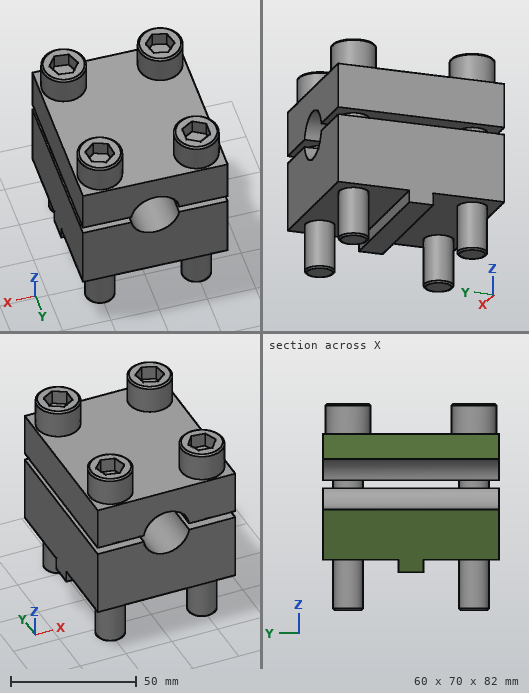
import cadquery as cq
import math

BLOCK_X = 60.0
BLOCK_Y = 70.0
UPPER_HEIGHT = 18.45
GAP = 3.0
LOWER_HEIGHT = 28.5
BORE_DIAMETER = 20.0

KEY_WIDTH = 10.0
KEY_DEPTH = 5.0

BOLT_SPACING_X = 40.0
BOLT_SPACING_Y = 50.0
SHANK_DIAMETER = 12.0
SHANK_PROTRUSION = 20.0
TIP_CHAMFER = 0.7
HEAD_DIAMETER = 18.0
HEAD_HEIGHT = 12.0
HEAD_CHAMFER = 0.7
SOCKET_ACROSS_FLATS = 10.0
SOCKET_DEPTH = 6.0

lower_bottom = SHANK_PROTRUSION
lower_top = lower_bottom + LOWER_HEIGHT
upper_bottom = lower_top + GAP
upper_top = upper_bottom + UPPER_HEIGHT
bolt_top = upper_top + HEAD_HEIGHT
bore_axis_z = lower_top + GAP / 2

BOLTS = [
    (-1, 1, 30.0),
    (1, 1, -20.6),
    (-1, -1, -13.1),
    (1, -1, -7.0),
]
bolt_centres = [(sx * BOLT_SPACING_X / 2, sy * BOLT_SPACING_Y / 2) for sx, sy, _ in BOLTS]


def block(bottom, height):
    """Rectangular clamp block with its bolt holes and its share of the bore."""
    body = (
        cq.Workplane("XY", origin=(0, 0, bottom))
        .box(BLOCK_X, BLOCK_Y, height, centered=(True, True, False))
    )
    holes = (
        cq.Workplane("XY", origin=(0, 0, bottom))
        .pushPoints(bolt_centres)
        .circle(SHANK_DIAMETER / 2)
        .extrude(height)
    )
    bore = (
        cq.Workplane("XZ", origin=(0, 0, bore_axis_z))
        .circle(BORE_DIAMETER / 2)
        .extrude(BLOCK_Y / 2, both=True)
    )
    return body.cut(holes).cut(bore)


def make_upper_block():
    return block(upper_bottom, UPPER_HEIGHT)


def make_lower_block():
    """Lower block with the locating key joined to its underside."""
    key = (
        cq.Workplane("XY", origin=(0, 0, lower_bottom))
        .rect(BLOCK_X, KEY_WIDTH)
        .extrude(-KEY_DEPTH)
    )
    return block(lower_bottom, LOWER_HEIGHT).union(key)


def make_bolt(x, y, socket_angle):
    """Socket head bolt, revolved about its own axis and then given a hexagonal socket."""
    shank_radius = SHANK_DIAMETER / 2
    head_radius = HEAD_DIAMETER / 2
    bolt = (
        cq.Workplane("XZ")
        .polyline([
            (0, 0),
            (shank_radius - TIP_CHAMFER, 0),
            (shank_radius, TIP_CHAMFER),
            (shank_radius, upper_top),
            (head_radius, upper_top),
            (head_radius, bolt_top - HEAD_CHAMFER),
            (head_radius - HEAD_CHAMFER, bolt_top),
            (0, bolt_top),
        ])
        .close()
        .revolve(360, (0, 0, 0), (0, 1, 0))
    )
    across_corners = SOCKET_ACROSS_FLATS / math.cos(math.pi / 6)
    socket = (
        cq.Workplane("XY", origin=(0, 0, bolt_top))
        .polygon(6, across_corners)
        .extrude(-SOCKET_DEPTH)
        .rotate((0, 0, 0), (0, 0, 1), socket_angle)
    )
    return bolt.cut(socket).translate((x, y, 0))


upper_block = make_upper_block()
lower_block = make_lower_block()
bolts = [make_bolt(x, y, angle) for (x, y), (_, _, angle) in zip(bolt_centres, BOLTS)]

result = cq.Compound.makeCompound([
    upper_block.val(),
    lower_block.val(),
    *[bolt.val() for bolt in bolts],
])